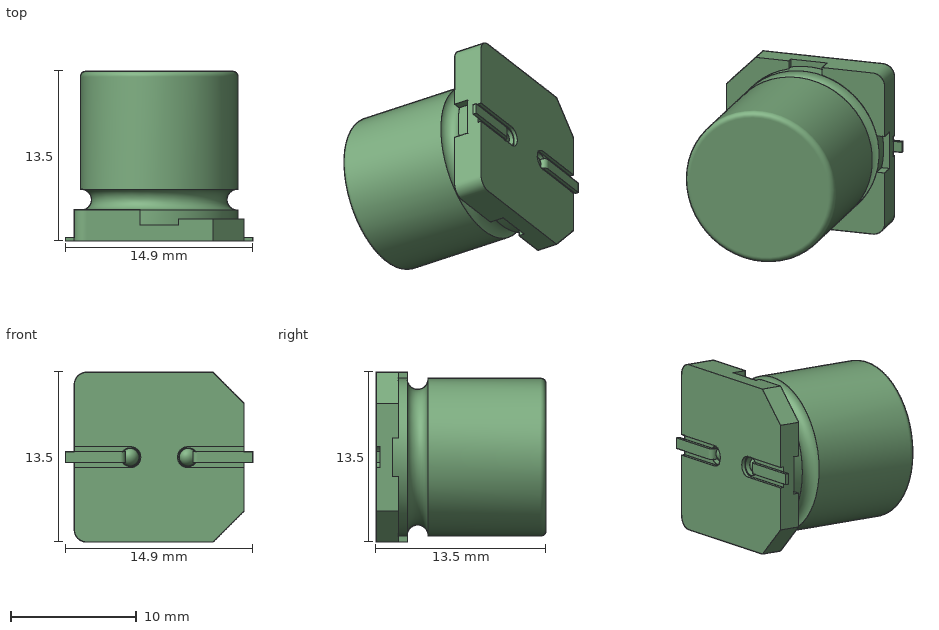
import cadquery as cq

total_length = 14.9
total_height = 13.5

base_width = 13.5
base_corner_radius = 1.0
base_corner_chamfer = 2.47
seat_height = 1.3
tall_post_height = 2.5
short_post_height = 1.77
post_gap = 3.04

can_radius = 6.27
can_top_fillet = 0.45
groove_half_height = 0.82
groove_depth = 0.88
groove_center_height = 3.3

lead_width = 0.86
lead_thickness = 0.3
lead_bend_radius = 0.37
lead_inner_face = 2.68
stem_offset = 2.3
stem_radius = 0.7
stem_ball_height = 1.05
slot_width = 1.67
slot_depth = 0.3
hole_radius = 0.75


def on_y(height=0.0):
    """XZ sketch plane at the given Y; extruding goes toward +Y and local x runs along -X."""
    return cq.Workplane(cq.Plane(origin=(0, height, 0), xDir=(-1, 0, 0), normal=(0, 1, 0)))


def make_can():
    neck_bottom = groove_center_height - groove_half_height
    neck_top = groove_center_height + groove_half_height
    return (
        cq.Workplane("XY")
        .moveTo(0, seat_height)
        .lineTo(can_radius, seat_height)
        .lineTo(can_radius, neck_bottom)
        .threePointArc((can_radius - groove_depth, groove_center_height), (can_radius, neck_top))
        .lineTo(can_radius, total_height)
        .lineTo(0, total_height)
        .close()
        .revolve(360, (0, 0, 0), (0, 1, 0))
        .faces(">Y").edges().fillet(can_top_fillet)
    )


def make_lead_slot(side):
    """Round-ended slot open at the base edge, with a clearance hole for the stem."""
    edge = base_width / 2
    straight_length = edge - stem_offset
    straight = on_y().center(-side * (stem_offset + edge) / 2, 0).rect(straight_length, slot_width)
    slot = straight.extrude(slot_depth)
    slot_end = on_y().center(-side * stem_offset, 0).circle(slot_width / 2).extrude(slot_depth)
    hole = on_y().center(-side * stem_offset, 0).circle(hole_radius).extrude(seat_height)
    return slot.union(slot_end).union(hole)


def make_base():
    base = on_y().rect(base_width, base_width).extrude(tall_post_height)
    base = base.edges("|Y and <X").fillet(base_corner_radius)
    base = base.edges("|Y and >X").chamfer(base_corner_chamfer)

    base = base.cut(on_y(seat_height).circle(can_radius).extrude(tall_post_height))
    base = base.cut(on_y(seat_height).rect(base_width, post_gap).extrude(tall_post_height))
    base = base.cut(on_y(seat_height).rect(post_gap, base_width).extrude(tall_post_height))

    post_trim = on_y(short_post_height).center(-base_width / 4, 0).rect(base_width / 2, base_width)
    base = base.cut(post_trim.extrude(tall_post_height))

    for side in (-1, 1):
        base = base.cut(make_lead_slot(side))
    return base


def make_lead(side):
    """Flat strip along the mounting face, bent upright into a half-ball-ended stem under the can."""
    foot_end = total_length / 2
    strip = (
        cq.Workplane("XY")
        .moveTo(lead_inner_face, 0)
        .lineTo(foot_end, 0)
        .lineTo(foot_end, lead_thickness)
        .lineTo(lead_inner_face + lead_thickness, lead_thickness)
        .lineTo(lead_inner_face + lead_thickness, seat_height)
        .lineTo(lead_inner_face, seat_height)
        .close()
        .extrude(lead_width / 2, both=True)
        .edges("|Z and <X and <Y").fillet(lead_bend_radius)
    )
    foot_space = cq.Workplane("XY").box(foot_end, lead_thickness, lead_width, centered=(False, False, True))
    hole_space = on_y().center(-stem_offset, 0).circle(hole_radius).extrude(seat_height)
    strip = strip.intersect(foot_space.union(hole_space))

    ball = cq.Workplane("XY").sphere(stem_radius).translate((stem_offset, stem_ball_height, 0))
    shank = on_y(stem_ball_height).center(-stem_offset, 0).circle(stem_radius)
    stem = ball.intersect(hole_space).union(shank.extrude(seat_height - stem_ball_height))
    lead = strip.union(stem)
    return lead if side > 0 else lead.mirror("YZ")


can = make_can()
base = make_base()
leads = [make_lead(side).val() for side in (-1, 1)]

result = cq.Compound.makeCompound([can.val(), base.val(), *leads])